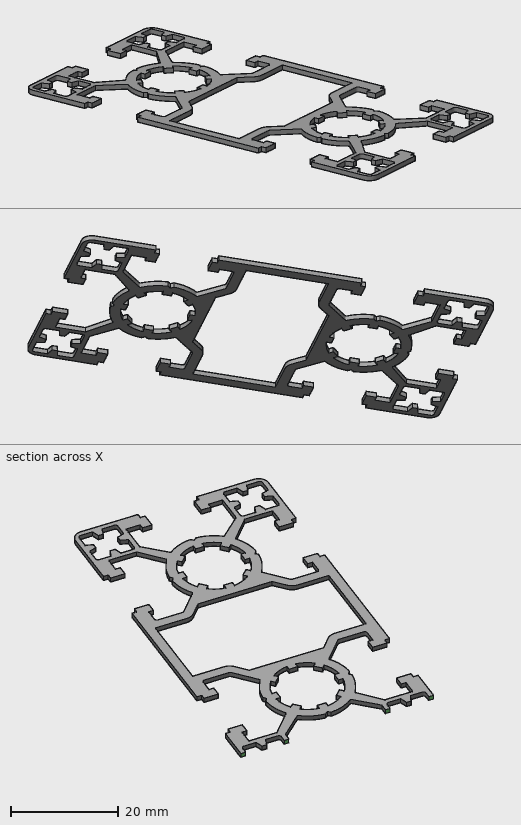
import cadquery as cq
import math

length = 80.0
width = 40.0
thickness = 1.0
corner_radius = 2.0

cell = width
half_cell = cell / 2
core_positions = [-length / 2 + half_cell, length / 2 - half_cell]
ring_radius = 9.0
bore_radius = 7.0
bore_rib_count = 8
bore_rib_width = 1.8
bore_rib_tip = 6.0
groove_depth = 0.5
groove_half_width = 0.6

mouth_half = 6.1
mouth_depth = 1.0
throat_half = 5.1
lip_depth = 4.0
lip_back_half = 7.1
chamber_half = 10.0
chamber_depth = 3.0
chamber_end = 11.2
web_flank_angle = 42.5
web_slope = math.tan(math.radians(web_flank_angle))
root_fillet = 0.2
slot_fillet = 0.5

wall = 1.0
pocket = half_cell - chamber_half - 2 * wall
pocket_fillet = 0.5
pocket_rib_base = 2.0
pocket_rib_tip = 1.0
pocket_rib_height = 1.5
pocket_rib_count = 4

cavity_half_width = 8.0
cavity_half_height = 18.0
waist_half_width = 11.0
waist_end = 7.7
cavity_fillet = 2.5


def prism(points):
    """Extrude a closed polygon through the plate thickness."""
    return cq.Workplane("XY").polyline(points).close().extrude(thickness)


def make_blank():
    return (
        cq.Workplane("XY")
        .rect(length, width)
        .extrude(thickness)
        .edges("|Z")
        .fillet(corner_radius)
    )


def make_slot(fillet_side):
    """Slot void opening toward +Y from a core at the origin.

    fillet_side is +1 or -1 for the chamber side (in X) with rounded corners, or 0 for none.
    """
    apex = chamber_end - chamber_half * web_slope
    right_side = [
        (mouth_half, half_cell),
        (mouth_half, half_cell - mouth_depth),
        (throat_half, half_cell - mouth_depth),
        (throat_half, half_cell - lip_depth),
        (lip_back_half, half_cell - lip_depth),
        (lip_back_half, half_cell - chamber_depth),
        (chamber_half, half_cell - chamber_depth),
        (chamber_half, chamber_end),
    ]
    left_side = [(-x, y) for x, y in reversed(right_side)]
    slot = prism(right_side + [(0, apex)] + left_side)
    if fillet_side > 0:
        slot = slot.edges("|Z and >X").fillet(slot_fillet)
    elif fillet_side < 0:
        slot = slot.edges("|Z and <X").fillet(slot_fillet)
    ring = cq.Workplane("XY").circle(ring_radius).extrude(thickness)
    groove = prism([
        (-groove_half_width, ring_radius),
        (0, ring_radius - groove_depth),
        (groove_half_width, ring_radius),
    ])
    root_zone = cq.selectors.BoxSelector((-half_cell, 0, 0), (half_cell, ring_radius, thickness))
    return slot.cut(ring).edges("|Z").edges(root_zone).fillet(root_fillet).union(groove)


def make_bore():
    """Round bore void with rectangular ribs pointing at its centre."""
    bore = cq.Workplane("XY").circle(bore_radius).extrude(thickness)
    rib = (
        cq.Workplane("XY")
        .rect(bore_radius, bore_rib_width)
        .extrude(thickness)
        .translate((bore_rib_tip + bore_radius / 2, 0, 0))
    )
    for index in range(bore_rib_count):
        angle = index * 360 / bore_rib_count
        bore = bore.cut(rib.rotate((0, 0, 0), (0, 0, 1), angle))
    return bore


def make_pocket():
    """Square pocket void, centred on the origin, with one tapered rib per side."""
    void = (
        cq.Workplane("XY")
        .rect(pocket, pocket)
        .extrude(thickness)
        .edges("|Z")
        .fillet(pocket_fillet)
    )
    side = pocket / 2
    tip = side - pocket_rib_height
    rib = prism([
        (side, -pocket_rib_base / 2),
        (tip, -pocket_rib_tip / 2),
        (tip, pocket_rib_tip / 2),
        (side, pocket_rib_base / 2),
    ])
    for index in range(pocket_rib_count):
        angle = index * 360 / pocket_rib_count
        void = void.cut(rib.rotate((0, 0, 0), (0, 0, 1), angle))
    return void


def make_cavity():
    """Central void: a tall rectangle widened to a waist between the two cores."""
    shoulder = waist_end + (waist_half_width - cavity_half_width) * web_slope
    tall = cq.Workplane("XY").rect(2 * cavity_half_width, 2 * cavity_half_height).extrude(thickness)
    waist = prism([
        (cavity_half_width, shoulder),
        (waist_half_width, waist_end),
        (waist_half_width, -waist_end),
        (cavity_half_width, -shoulder),
        (-cavity_half_width, -shoulder),
        (-waist_half_width, -waist_end),
        (-waist_half_width, waist_end),
        (-cavity_half_width, shoulder),
    ])
    shoulder_zone = cq.selectors.BoxSelector(
        (-cavity_half_width - wall, -shoulder - wall, 0),
        (cavity_half_width + wall, shoulder + wall, thickness),
    )
    return tall.union(waist).edges("|Z").edges(shoulder_zone).fillet(cavity_fillet)


def make_cell_voids(core_x):
    """All voids around one core: two slots on the long sides, one on the end, and the bore."""
    inner_side = -1 if core_x > 0 else 1
    slot = make_slot(inner_side)
    end_slot = make_slot(0).rotate((0, 0, 0), (0, 0, 1), 90 * inner_side)
    voids = [slot, slot.mirror("XZ"), end_slot, make_bore()]
    return [void.translate((core_x, 0, 0)) for void in voids]


result = make_blank().cut(make_cavity())

for core_x in core_positions:
    for void in make_cell_voids(core_x):
        result = result.cut(void)

pocket_x = length / 2 - wall - pocket / 2
pocket_y = width / 2 - wall - pocket / 2
corner_pocket = make_pocket()
for x in (-pocket_x, pocket_x):
    for y in (-pocket_y, pocket_y):
        result = result.cut(corner_pocket.translate((x, y, 0)))